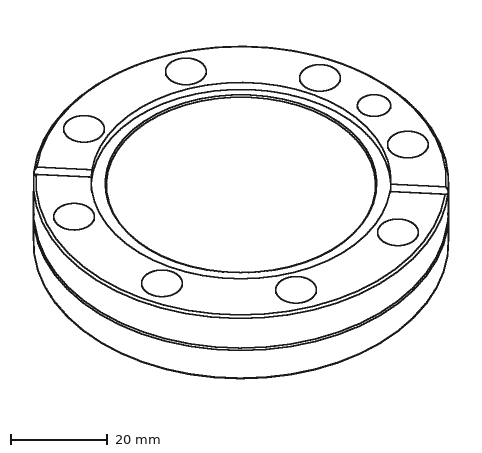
import cadquery as cq
import math

outer_radius = 42.85
thickness = 17.3
rim_chamfer = 0.5
base_chamfer_width = 0.4
base_chamfer_height = 0.5

rim_groove_width = 1.2
rim_groove_depth = 0.2
rim_groove_upper_height = 0.7

recess_radius = 30.9
recess_depth = 1.9
knife_radius = 28.0
knife_slope = 20.0
face_radius = 27.8
face_step = 0.4

bolt_circle_radius = 36.25
bolt_count = 8
bolt_hole_diameter = 8.4
extra_hole_diameter = 6.85
half_pitch = 180.0 / bolt_count
extra_hole_angle = 90.0 - half_pitch

leak_groove_width = 2.3
leak_groove_depth = 0.5


def make_body():
    """Revolve the flange section, including the rim groove and the knife edge."""
    groove_top = (thickness + rim_groove_width) / 2
    recess_floor = thickness - recess_depth
    knife_top = recess_floor + (recess_radius - knife_radius) * math.tan(math.radians(knife_slope))
    face_height = knife_top - face_step
    section = [
        (0, 0),
        (outer_radius - base_chamfer_width, 0),
        (outer_radius, base_chamfer_height),
        (outer_radius, groove_top - rim_groove_width),
        (outer_radius - rim_groove_depth, groove_top - rim_groove_upper_height),
        (outer_radius, groove_top),
        (outer_radius, thickness - rim_chamfer),
        (outer_radius - rim_chamfer, thickness),
        (recess_radius, thickness),
        (recess_radius, recess_floor),
        (knife_radius, knife_top),
        (face_radius, face_height),
        (0, face_height),
    ]
    return cq.Workplane("XZ").polyline(section).close().revolve(360, (0, 0, 0), (0, 1, 0))


def cut_holes(body):
    """Drill the bolt circle and the extra hole through the flange."""
    drilled = (
        body.faces("<Z").workplane()
        .polarArray(bolt_circle_radius, 0, 360, bolt_count)
        .hole(bolt_hole_diameter)
    )
    angle = math.radians(extra_hole_angle)
    extra_hole = (
        cq.Workplane("XY")
        .center(bolt_circle_radius * math.cos(angle), bolt_circle_radius * math.sin(angle))
        .circle(extra_hole_diameter / 2)
        .extrude(thickness)
    )
    return drilled.cut(extra_hole)


def cut_leak_grooves(body):
    """Cut two opposite channels from the recess out to the rim."""
    groove_radius = ((leak_groove_width / 2) ** 2 + leak_groove_depth**2) / (2 * leak_groove_depth)
    axis_height = thickness - leak_groove_depth + groove_radius
    bar = (
        cq.Workplane("YZ")
        .center(0, axis_height)
        .circle(groove_radius)
        .extrude(outer_radius * 1.1, both=True)
        .rotate((0, 0, 0), (0, 0, 1), half_pitch)
    )
    return body.cut(bar)


result = cut_leak_grooves(cut_holes(make_body()))